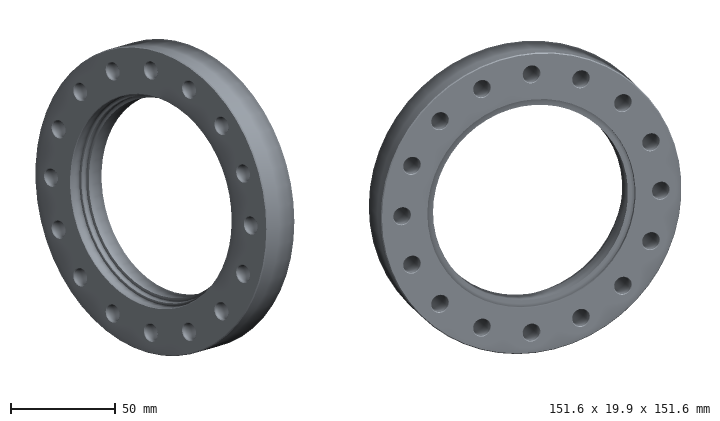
import cadquery as cq

OUTER_RADIUS = 75.8
THICKNESS = 19.9
RIM_CHAMFER = 0.5
RING_BORE_RADIUS = 52.5
BORE_CHAMFER = 0.3

BOLT_COUNT = 16
BOLT_CIRCLE_RADIUS = 65.2
BOLT_HOLE_RADIUS = 4.2
BOLT_HOLE_CHAMFER = 0.3

INSERT_FRONT_DEPTH = 6.2
SOCKET_RADIUS = 50.8
SOCKET_CHAMFER = 0.3
SOCKET_DEPTH = 3.0
INSERT_BACK_DEPTH = 18.3
INSERT_BORE_RADIUS = 49.1

FRONT_Y = -THICKNESS / 2
BACK_Y = THICKNESS / 2


def cylinder(radius, start_y, end_y):
    """A cylinder about the Y axis between two Y positions."""
    return cq.Workplane("XZ", origin=(0, start_y, 0)).circle(radius).extrude(start_y - end_y)


def make_ring():
    """Flange ring with broken edges and a circle of bolt holes."""
    disc = cylinder(OUTER_RADIUS, FRONT_Y, BACK_Y).faces("<Y or >Y").edges().chamfer(RIM_CHAMFER)
    ring = disc.cut(cylinder(RING_BORE_RADIUS, FRONT_Y, BACK_Y))
    ring = ring.faces("<Y").edges(cq.selectors.RadiusNthSelector(0)).chamfer(BORE_CHAMFER)
    bolt_holes = (
        cq.Workplane("XZ", origin=(0, FRONT_Y, 0))
        .polarArray(BOLT_CIRCLE_RADIUS, 0, 360, BOLT_COUNT)
        .circle(BOLT_HOLE_RADIUS)
        .extrude(-THICKNESS)
    )
    ring = ring.cut(bolt_holes)
    return ring.faces("<Y or >Y").edges(cq.selectors.RadiusNthSelector(0)).chamfer(BOLT_HOLE_CHAMFER)


def make_insert():
    """Sleeve set back from both ring faces, with a shallow socket ahead of its bore."""
    insert_front_y = FRONT_Y + INSERT_FRONT_DEPTH
    insert_back_y = FRONT_Y + INSERT_BACK_DEPTH
    sleeve = cylinder(RING_BORE_RADIUS, insert_front_y, insert_back_y)
    socket = cylinder(SOCKET_RADIUS, insert_front_y, insert_front_y + SOCKET_DEPTH)
    bore = cylinder(INSERT_BORE_RADIUS, insert_front_y, insert_back_y)
    insert = sleeve.cut(socket).cut(bore)
    return insert.faces("<Y").edges(cq.selectors.RadiusNthSelector(0)).chamfer(SOCKET_CHAMFER)


ring = make_ring()
insert = make_insert()

result = cq.Compound.makeCompound([ring.val(), insert.val()])